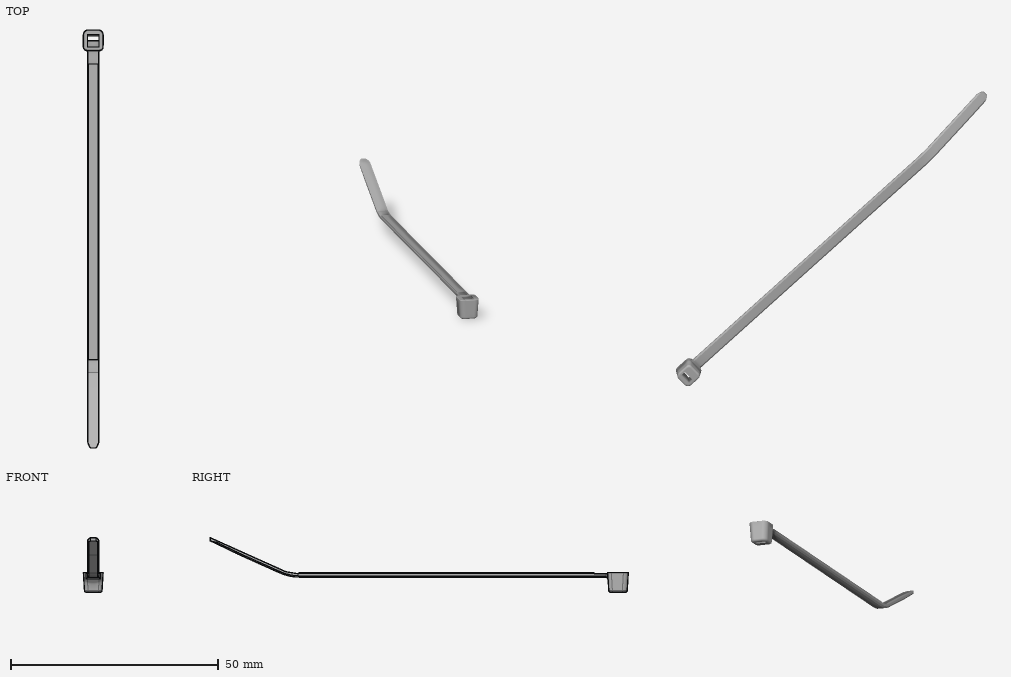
import cadquery as cq
import math

TOTAL_LENGTH = 100.9
HEAD_END_Y = TOTAL_LENGTH / 2
TIP_Y = -TOTAL_LENGTH / 2
TIP_Z = 8.4

HEAD_WIDTH = 4.8
HEAD_LENGTH = 5.0
HEAD_HEIGHT = 4.8
HEAD_DRAFT = 3.5
HEAD_OUTER_CORNER = 1.2
HEAD_STRAP_CORNER = 0.9
HEAD_TOP_ROUND = 0.15
HEAD_BOTTOM_ROUND = 0.5
HEAD_STRAP_Y = HEAD_END_Y - HEAD_LENGTH
HEAD_CENTER_Y = HEAD_END_Y - HEAD_LENGTH / 2

STRAP_WIDTH = 2.7
STRAP_TOP_Z = -0.3
STRAP_BOTTOM_Z = -1.2
UNDERSIDE_CHAMFER = 0.35
FLARE_RADIUS = 0.35
FLARE_TOP_RADIUS = 0.25

BAND_WIDTH = 2.2
BAND_START_Y = 42.2
BAND_END_Y = -29.1

TAIL_ANGLE = 24.2
RAMP_START_Y = -29.4
TAIL_START_Y = -32.2
TAIL_THICKNESS = 0.9
TAIL_TAPER_START_Y = -43.3
TIP_THICKNESS = 0.7
TIP_WIDTH = 1.2
TIP_LENGTH = 1.8
UNDERSIDE_BEND_RADIUS = 12.1

OPENING_WIDTH = STRAP_WIDTH
OPENING_LENGTH = 3.0
OPENING_WALL = 0.9
NECK_ROOT_Y = HEAD_STRAP_Y + OPENING_WALL / 2
LEDGE_LENGTH = 1.5
LEDGE_DEPTH = 0.4
LEAD_IN_LENGTH = 0.4
LEAD_IN_DEPTH = 0.6


def make_head():
    head = (
        cq.Workplane("XY")
        .center(0, HEAD_CENTER_Y)
        .rect(HEAD_WIDTH, HEAD_LENGTH)
        .extrude(-HEAD_HEIGHT, taper=HEAD_DRAFT)
    )
    head = head.faces("<Y").edges("not(|X)").fillet(HEAD_STRAP_CORNER)
    head = head.faces(">Y").edges("not(|X)").fillet(HEAD_OUTER_CORNER)
    head = head.faces("<Z").edges().fillet(HEAD_BOTTOM_ROUND)
    return head.faces(">Z").edges().fillet(HEAD_TOP_ROUND)


def make_strap():
    slope = math.tan(math.radians(TAIL_ANGLE))

    def tail_top_z(y):
        return TIP_Z - slope * (y - TIP_Y)

    def tail_bottom_z(y, thickness):
        return tail_top_z(y) - thickness / math.cos(math.radians(TAIL_ANGLE))

    taper_start_z = tail_bottom_z(TAIL_TAPER_START_Y, TAIL_THICKNESS)
    bend_y = TAIL_TAPER_START_Y + (taper_start_z - STRAP_BOTTOM_Z) / slope
    strap = (
        cq.Workplane("YZ")
        .moveTo(NECK_ROOT_Y, STRAP_TOP_Z)
        .lineTo(RAMP_START_Y, STRAP_TOP_Z)
        .lineTo(TAIL_START_Y, tail_top_z(TAIL_START_Y))
        .lineTo(TIP_Y, TIP_Z)
        .lineTo(TIP_Y, tail_bottom_z(TIP_Y, TIP_THICKNESS))
        .lineTo(TAIL_TAPER_START_Y, taper_start_z)
        .lineTo(bend_y, STRAP_BOTTOM_Z)
        .lineTo(NECK_ROOT_Y, STRAP_BOTTOM_Z)
        .close()
        .extrude(STRAP_WIDTH / 2, both=True)
    )
    bend_edge = cq.selectors.NearestToPointSelector((0, bend_y, STRAP_BOTTOM_Z))
    strap = strap.edges(bend_edge).fillet(UNDERSIDE_BEND_RADIUS)
    strap = strap.faces("<Z").edges(">X or <X").chamfer(UNDERSIDE_CHAMFER)
    return strap.intersect(make_strap_outline())


def make_strap_outline():
    """Tall prism with the strap's plan outline, narrowing in tangent arcs to a blunt tip."""
    half_width = STRAP_WIDTH / 2
    half_tip = TIP_WIDTH / 2
    narrowing = half_width - half_tip
    tip_radius = (narrowing**2 + TIP_LENGTH**2) / (2 * narrowing)
    arc_start_y = TIP_Y + TIP_LENGTH
    return (
        cq.Workplane("XY", origin=(0, 0, -HEAD_HEIGHT))
        .moveTo(-half_width, NECK_ROOT_Y)
        .lineTo(-half_width, arc_start_y)
        .radiusArc((-half_tip, TIP_Y), -tip_radius)
        .lineTo(half_tip, TIP_Y)
        .radiusArc((half_width, arc_start_y), -tip_radius)
        .lineTo(half_width, NECK_ROOT_Y)
        .close()
        .extrude(HEAD_HEIGHT + TIP_Z)
    )


def make_band():
    length = BAND_START_Y - BAND_END_Y
    return (
        cq.Workplane("XY", origin=(0, BAND_END_Y + length / 2, STRAP_TOP_Z))
        .rect(BAND_WIDTH, length)
        .extrude(-STRAP_TOP_Z)
    )


def make_opening():
    near_y = HEAD_STRAP_Y + OPENING_WALL
    far_y = near_y + OPENING_LENGTH
    ledge_y = near_y + LEDGE_LENGTH
    return (
        cq.Workplane("YZ")
        .moveTo(near_y, 0)
        .lineTo(far_y, 0)
        .lineTo(far_y - LEAD_IN_LENGTH, -LEAD_IN_DEPTH)
        .lineTo(far_y - LEAD_IN_LENGTH, -HEAD_HEIGHT)
        .lineTo(ledge_y, -HEAD_HEIGHT)
        .lineTo(ledge_y, -LEDGE_DEPTH)
        .lineTo(near_y, -LEDGE_DEPTH)
        .close()
        .extrude(OPENING_WIDTH / 2, both=True)
    )


def make_neck_flare():
    """Concave blend where the neck grows out of the head."""
    half_width = STRAP_WIDTH / 2
    tip_y = HEAD_STRAP_Y - FLARE_RADIUS
    top_tip_y = HEAD_STRAP_Y - FLARE_TOP_RADIUS
    plan = (
        cq.Workplane("XY", origin=(0, 0, -HEAD_HEIGHT))
        .moveTo(-half_width, tip_y)
        .radiusArc((-half_width - FLARE_RADIUS, HEAD_STRAP_Y), -FLARE_RADIUS)
        .lineTo(-half_width - FLARE_RADIUS, NECK_ROOT_Y)
        .lineTo(half_width + FLARE_RADIUS, NECK_ROOT_Y)
        .lineTo(half_width + FLARE_RADIUS, HEAD_STRAP_Y)
        .radiusArc((half_width, tip_y), -FLARE_RADIUS)
        .close()
        .extrude(HEAD_HEIGHT)
    )
    profile = (
        cq.Workplane("YZ")
        .moveTo(tip_y, STRAP_BOTTOM_Z)
        .radiusArc((HEAD_STRAP_Y, STRAP_BOTTOM_Z - FLARE_RADIUS), FLARE_RADIUS)
        .lineTo(NECK_ROOT_Y, STRAP_BOTTOM_Z - FLARE_RADIUS)
        .lineTo(NECK_ROOT_Y, STRAP_TOP_Z)
        .lineTo(HEAD_STRAP_Y, STRAP_TOP_Z + FLARE_TOP_RADIUS)
        .radiusArc((top_tip_y, STRAP_TOP_Z), FLARE_TOP_RADIUS)
        .lineTo(tip_y, STRAP_TOP_Z)
        .close()
        .extrude(HEAD_WIDTH / 2, both=True)
    )
    return plan.intersect(profile)


body = make_head().union(make_neck_flare()).union(make_strap()).union(make_band())
result = body.cut(make_opening())